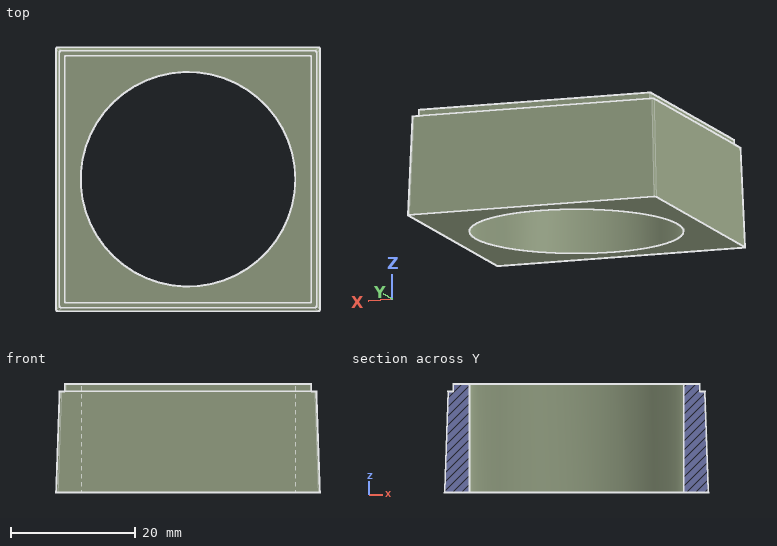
import cadquery as cq

base_width = 42.5
total_height = 17.5

lip_width = 39.7
lip_height = 1.2
draft_angle = 2.0
body_corner_radius = 0.3
lip_corner_radius = 0.15
bore_diameter = 34.5

body_height = total_height - lip_height


def drafted_body():
    """Square block whose walls lean inward, with rounded corner edges."""
    block = cq.Workplane("XY").rect(base_width, base_width).extrude(body_height, taper=draft_angle)
    return block.edges("not(#Z)").fillet(body_corner_radius)


def top_lip():
    """Straight-sided square step on top of the body."""
    lip = cq.Workplane("XY").workplane(offset=body_height).rect(lip_width, lip_width).extrude(lip_height)
    return lip.edges("|Z").fillet(lip_corner_radius)


def bore():
    """Round through-opening on the centre axis."""
    return cq.Workplane("XY").circle(bore_diameter / 2).extrude(total_height)


result = drafted_body().union(top_lip()).cut(bore())